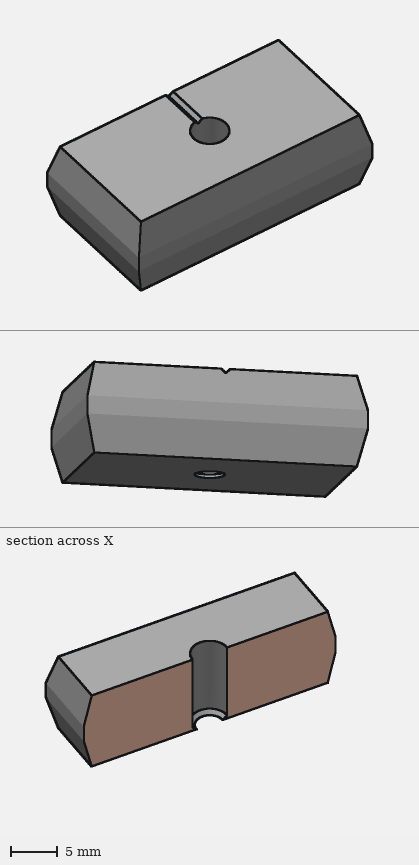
import cadquery as cq

width = 16.8
length = 31.0
height = 10.0

band_height = 2.0
side_inset = 1.0

bore_diameter = 4.22
opening_diameter = 3.2
seat_height = (bore_diameter - opening_diameter) / 2

groove_depth = 0.5

top_z = height / 2
band_half = band_height / 2


def sloped_half(direction):
    """Frustum from the edge of the band to the top (1) or bottom (-1) face."""
    return (
        cq.Workplane("XY", origin=(0, 0, direction * band_half))
        .rect(width, length)
        .workplane(offset=direction * (top_z - band_half))
        .rect(width - 2 * side_inset, length - 2 * side_inset)
        .loft(ruled=True)
    )


def stepped_hole():
    """Straight bore with a conical seat that narrows to the bottom opening."""
    bore_radius = bore_diameter / 2
    opening_radius = opening_diameter / 2
    return (
        cq.Workplane("XZ")
        .moveTo(0, -top_z)
        .lineTo(opening_radius, -top_z)
        .lineTo(bore_radius, seat_height - top_z)
        .lineTo(bore_radius, top_z)
        .lineTo(0, top_z)
        .close()
        .revolve(360, (0, 0), (0, 1))
    )


def groove():
    """V-shaped bar from the -X side to the hole axis."""
    return (
        cq.Workplane("YZ", origin=(-width / 2, 0, top_z))
        .moveTo(-groove_depth, 0)
        .lineTo(0, -groove_depth)
        .lineTo(groove_depth, 0)
        .close()
        .extrude(width / 2)
    )


band = cq.Workplane("XY").box(width, length, band_height)
block = band.union(sloped_half(1)).union(sloped_half(-1))
result = block.cut(stepped_hole()).cut(groove())